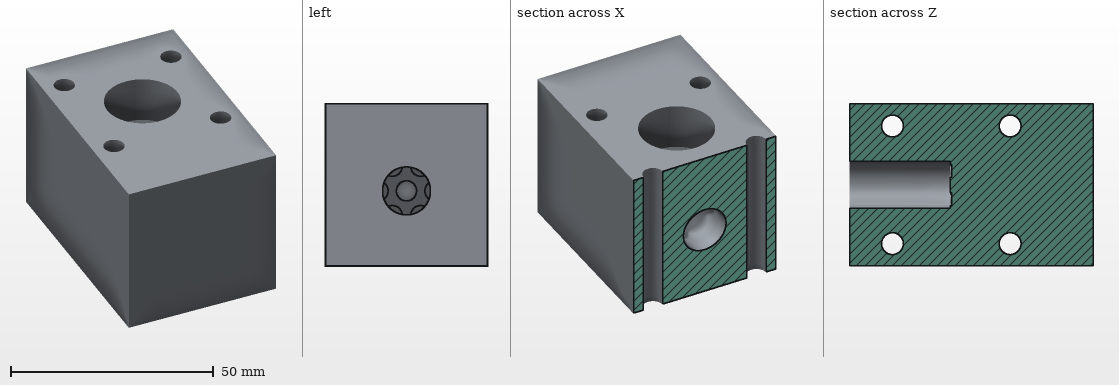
import cadquery as cq
import math

length = 60.0
side = 40.0

bore_x = -5.0
bore_diameter = 19.0
bore_depth = 12.2
screw_hole_diameter = 5.3
screw_hole_spacing = 29.0

entry_z = -1.5
entry_diameter = 11.8
entry_depth = length / 2 + bore_x

contact_diameter = 5.0
contact_ring_radius = 7.0
contact_ring_count = 6
contact_height = 0.3


def cut_flange_holes(body):
    """Sink the main bore and drill the four screw holes from the top face."""
    flange = body.faces(">Z").workplane(origin=(bore_x, 0, 0))
    body = flange.hole(bore_diameter, bore_depth)
    flange = body.faces(">Z").workplane(origin=(bore_x, 0, 0))
    corners = flange.rect(screw_hole_spacing, screw_hole_spacing, forConstruction=True).vertices()
    return corners.hole(screw_hole_diameter)


def entry_cylinder(diameter, start_depth, height, y=0.0, z=0.0):
    """Cylinder along X that starts below the -X face, offset from the entry axis."""
    plane = cq.Plane(origin=(start_depth - length / 2, y, entry_z + z), xDir=(0, 1, 0), normal=(1, 0, 0))
    return cq.Workplane(plane).circle(diameter / 2).extrude(height)


def contact_centres():
    """Offsets (y, z) of the contacts from the entry axis."""
    centres = [(0.0, 0.0)]
    for i in range(contact_ring_count):
        angle = 2 * math.pi * i / contact_ring_count
        centres.append((contact_ring_radius * math.cos(angle), contact_ring_radius * math.sin(angle)))
    return centres


def side_entry():
    """Volume removed by the side entry, leaving the contacts on its floor."""
    entry = entry_cylinder(entry_diameter, 0, entry_depth)
    contact_top = entry_depth - contact_height
    for y, z in contact_centres():
        entry = entry.cut(entry_cylinder(contact_diameter, contact_top, contact_height, y, z))
    return entry


block = cq.Workplane("XY").box(length, side, side)
result = cut_flange_holes(block).cut(side_entry())